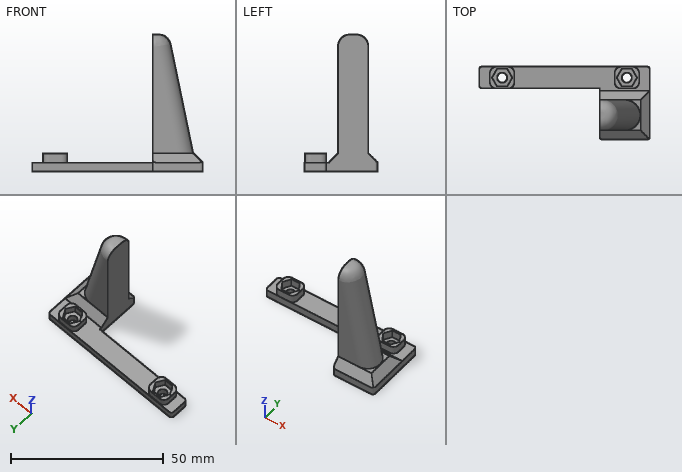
import cadquery as cq
import math

length = 56.0
depth = 24.0
height = 45.0
plate_thickness = 3.0
arm_width = 7.2
corner_radius = 1.0

foot_length = 16.5
shoulder = plate_thickness
foot_left = length - foot_length
foot_top = plate_thickness + shoulder

post_width = 10.0
post_radius = post_width / 2
post_front = shoulder
post_center_y = post_front + post_radius
cap_radius = 4.0
axis_offset_at_cap = 1.0
axis_offset_at_foot = 8.25

holder_length = 8.0
holder_width = 7.05
holder_height = 3.0
holder_corner_radius = 2.0
nut_across_flats = 5.75
nut_across_corners = nut_across_flats / math.cos(math.pi / 6)
hole_diameter = 3.2
hole_inset = 7.55
hole_y = depth - arm_width + holder_width / 2
hole_positions = [(hole_inset, hole_y), (length - hole_inset, hole_y)]


def make_plate():
    """L-shaped base plate with rounded outer corners, its foot rising to sloping shoulders."""
    plate = (
        cq.Workplane("XY")
        .moveTo(0, depth)
        .lineTo(length, depth)
        .lineTo(length, 0)
        .lineTo(foot_left, 0)
        .lineTo(foot_left, depth - arm_width)
        .lineTo(0, depth - arm_width)
        .close()
        .extrude(foot_top)
    )
    upright_edges = cq.selectors.ParallelDirSelector(cq.Vector(0, 0, 1))
    inner_corner = cq.selectors.NearestToPointSelector((foot_left, depth - arm_width, foot_top / 2))
    outer_corners = cq.selectors.SubtractSelector(upright_edges, inner_corner)
    plate = plate.edges(outer_corners).fillet(corner_radius)
    return plate.intersect(make_foot_envelope())


def make_foot_envelope():
    """Slab of plate thickness carrying the foot, whose shoulders slope on three sides."""
    slab = cq.Workplane("XY").box(length, depth, plate_thickness, centered=False)
    foot_profile = (
        cq.Workplane("YZ", origin=(foot_left, 0, 0))
        .moveTo(0, plate_thickness)
        .lineTo(post_front, foot_top)
        .lineTo(post_front + post_width, foot_top)
        .lineTo(post_front + post_width + shoulder, plate_thickness)
        .close()
        .extrude(foot_length)
    )
    end_profile = (
        cq.Workplane("XZ")
        .moveTo(foot_left, plate_thickness)
        .lineTo(foot_left, foot_top)
        .lineTo(length - shoulder, foot_top)
        .lineTo(length, plate_thickness)
        .close()
        .extrude(-depth)
    )
    return slab.union(foot_profile.intersect(end_profile))


def make_post():
    """Leaning post: flat vertical back, round sloping outer side, rounded top."""
    cap_center_z = height - cap_radius
    lean = math.atan2(axis_offset_at_foot - axis_offset_at_cap, cap_center_z - foot_top)
    axis_direction = cq.Vector(-math.sin(lean), 0, math.cos(lean))
    overrun = height / 2
    back_reach = 2 * foot_length
    start = cq.Vector(foot_left + axis_offset_at_foot, post_center_y, foot_top) - axis_direction * overrun
    section_plane = cq.Plane(origin=start, xDir=(math.cos(lean), 0, math.sin(lean)), normal=axis_direction)
    leaning = (
        cq.Workplane(section_plane)
        .moveTo(-back_reach, -post_radius)
        .lineTo(0, -post_radius)
        .threePointArc((post_radius, 0), (0, post_radius))
        .lineTo(-back_reach, post_radius)
        .close()
        .extrude(2 * height)
    )
    trim = (
        cq.Workplane("XY", origin=(foot_left, 0, foot_top))
        .box(foot_length, depth, height - foot_top, centered=False)
    )
    post = leaning.intersect(trim)
    rim = post.faces(">Z").edges("not |Y")
    return rim.fillet(cap_radius)


def make_bracket():
    """Plate, foot and post as one solid, drilled for the screws."""
    holes = cq.Workplane("XY").pushPoints(hole_positions).circle(hole_diameter / 2).extrude(plate_thickness)
    return make_plate().union(make_post()).cut(holes)


def make_nut_holder(x, y):
    """Rounded block with a hexagonal nut pocket right through it."""
    return (
        cq.Workplane("XY", origin=(x, y, plate_thickness))
        .rect(holder_length, holder_width)
        .extrude(holder_height)
        .edges("|Z")
        .fillet(holder_corner_radius)
        .cut(
            cq.Workplane("XY", origin=(x, y, plate_thickness))
            .polygon(6, nut_across_corners)
            .extrude(holder_height)
        )
    )


bracket = make_bracket()
nut_holders = [make_nut_holder(x, y) for x, y in hole_positions]

result = cq.Compound.makeCompound([bracket.val(), *[holder.val() for holder in nut_holders]])